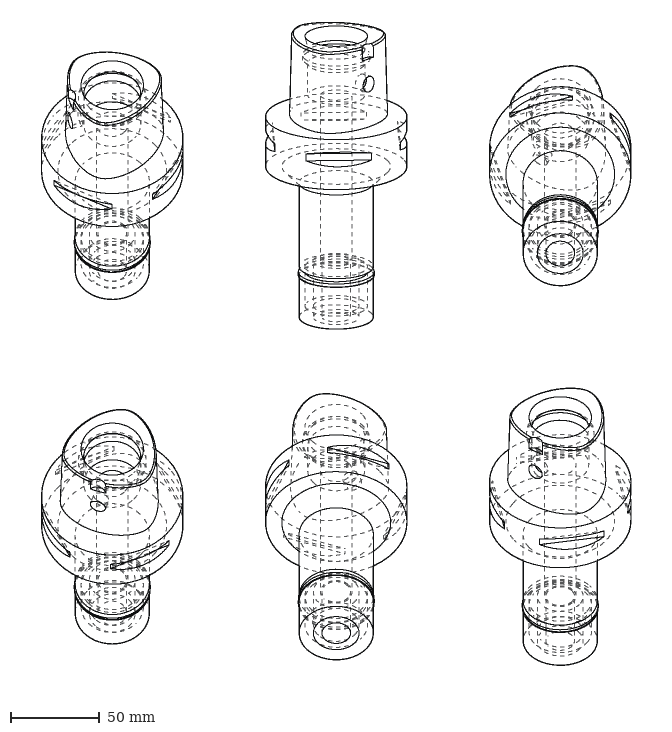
import cadquery as cq
import math

NUT_HEIGHT = 27.2
RIM_BOTTOM = 25.2
NECK_TOP = 30.2
CONE_BOTTOM = 80.3
FLANGE_BOTTOM = 90.0
FLANGE_TOP = 120.0
TOTAL_HEIGHT = 168.0

FLANGE_RADIUS = 40.0
BARREL_RADIUS = 21.0
CONE_TOP_RADIUS = BARREL_RADIUS + FLANGE_BOTTOM - CONE_BOTTOM
NECK_RADIUS = 17.6

SHANK_MEAN_RADIUS = 27.7
LOBE_HEIGHT = 2.0
OUTLINE_POINTS = 24
SHANK_TAPER = 1 / 40
SHANK_CHAMFER_HEIGHT = 1.2
SHANK_CHAMFER_INSET = 1.0

MOUTH_RADIUS = 17.6
BORE_RADIUS = 16.1
GROOVE_RADIUS = 19.2
MOUTH_DEPTH = 6.7
GROOVE_START_DEPTH = 8.2
GROOVE_WALL_LENGTH = 2.0
BORE_DEPTH = 35.3
THROUGH_RADIUS = 8.9

NOTCH_RADIUS = 5.4
NOTCH_BOTTOM = 160.1
NOTCH_INNER_Y = -21.8
SIDE_HOLE_RADIUS = 4.5
SIDE_HOLE_HEIGHT = 145.2
SIDE_HOLE_BOTTOM_Y = -19.0

SLOT_COUNT = 4
SLOT_FLOOR_DISTANCE = 35.5
SLOT_FLOOR_WIDTH = 4.2
SLOT_MOUTH_WIDTH = 8.7
SLOT_HEIGHT = 108.0

NUT_RADIUS = BARREL_RADIUS
NUT_RIM_RADIUS = 21.5
NUT_FLOOR = 6.7

COLLET_RADIUS = 13.0
COLLET_BORE_RADIUS = 8.0
COLLET_HEIGHT = 33.6


def cylinder(radius, bottom, top):
    """Cylinder on the Z axis between two heights."""
    return cq.Workplane("XY").workplane(offset=bottom).circle(radius).extrude(top - bottom)


def revolved(points):
    """Solid turned about the Z axis from (radius, height) points."""
    return cq.Workplane("XZ").polyline(points).close().revolve(360, (0, 0, 0), (0, 1, 0))


def lobed_section(mean_radius, height):
    """Closed three-lobed outline of constant width, with one lobe pointing to +Y."""

    def point(angle):
        support = mean_radius - LOBE_HEIGHT * math.sin(3 * angle)
        slope = -3 * LOBE_HEIGHT * math.cos(3 * angle)
        return (
            support * math.cos(angle) - slope * math.sin(angle),
            support * math.sin(angle) + slope * math.cos(angle),
            height,
        )

    step = 2 * math.pi / OUTLINE_POINTS
    points = [point(index * step - math.pi / 2) for index in range(OUTLINE_POINTS)]
    edge = cq.Edge.makeSpline([cq.Vector(*p) for p in points], periodic=True)
    return cq.Wire.assembleEdges([edge])


def make_shank():
    """Lobed taper, chamfered around its top face."""
    chamfer_bottom = TOTAL_HEIGHT - SHANK_CHAMFER_HEIGHT
    upper_radius = SHANK_MEAN_RADIUS - SHANK_TAPER * (chamfer_bottom - FLANGE_TOP)
    base = lobed_section(SHANK_MEAN_RADIUS, FLANGE_TOP)
    shoulder = lobed_section(upper_radius, chamfer_bottom)
    tip = lobed_section(upper_radius - SHANK_CHAMFER_INSET, TOTAL_HEIGHT)
    taper = cq.Workplane(cq.Solid.makeLoft([base, shoulder], True))
    return taper.union(cq.Workplane(cq.Solid.makeLoft([shoulder, tip], True)))


def make_turned_outside():
    """Flange, cone, barrel and the neck that enters the nut."""
    return revolved([
        (0, NUT_FLOOR),
        (NECK_RADIUS, NUT_FLOOR),
        (NECK_RADIUS, NECK_TOP),
        (BARREL_RADIUS, NECK_TOP),
        (BARREL_RADIUS, CONE_BOTTOM),
        (CONE_TOP_RADIUS, FLANGE_BOTTOM),
        (FLANGE_RADIUS, FLANGE_BOTTOM),
        (FLANGE_RADIUS, FLANGE_TOP),
        (0, FLANGE_TOP),
    ])


def make_bore():
    """Tapered mouth, bore with a 45 degree internal groove, through hole and collet seat."""
    groove_depth = GROOVE_RADIUS - BORE_RADIUS
    groove_top = TOTAL_HEIGHT - GROOVE_START_DEPTH
    wall_top = groove_top - groove_depth
    wall_bottom = wall_top - GROOVE_WALL_LENGTH
    bore_floor = TOTAL_HEIGHT - BORE_DEPTH
    return revolved([
        (0, NUT_FLOOR),
        (COLLET_RADIUS, NUT_FLOOR),
        (COLLET_RADIUS, COLLET_HEIGHT),
        (THROUGH_RADIUS, COLLET_HEIGHT),
        (THROUGH_RADIUS, bore_floor),
        (BORE_RADIUS, bore_floor),
        (BORE_RADIUS, wall_bottom - groove_depth),
        (GROOVE_RADIUS, wall_bottom),
        (GROOVE_RADIUS, wall_top),
        (BORE_RADIUS, groove_top),
        (BORE_RADIUS, TOTAL_HEIGHT - MOUTH_DEPTH),
        (MOUTH_RADIUS, TOTAL_HEIGHT),
        (0, TOTAL_HEIGHT),
    ])


def make_notch():
    """Round-backed key notch, open at the top of the shank."""
    notch = cylinder(NOTCH_RADIUS, NOTCH_BOTTOM, TOTAL_HEIGHT)
    return notch.translate((0, NOTCH_INNER_Y - NOTCH_RADIUS, 0))


def make_side_hole():
    """Flat-bottomed hole entering the shank from -Y."""
    hole_plane = cq.Workplane("XZ", origin=(0, SIDE_HOLE_BOTTOM_Y, SIDE_HOLE_HEIGHT))
    return hole_plane.circle(SIDE_HOLE_RADIUS).extrude(FLANGE_RADIUS + SIDE_HOLE_BOTTOM_Y)


def make_gripper_slot(angle):
    """Straight slot with a flat floor and flaring sides, cut across the flange rim."""
    floor_half = SLOT_FLOOR_WIDTH / 2
    mouth_half = SLOT_MOUTH_WIDTH / 2
    slot = (
        cq.Workplane("XZ")
        .polyline([
            (SLOT_FLOOR_DISTANCE, SLOT_HEIGHT - floor_half),
            (FLANGE_RADIUS, SLOT_HEIGHT - mouth_half),
            (FLANGE_RADIUS, SLOT_HEIGHT + mouth_half),
            (SLOT_FLOOR_DISTANCE, SLOT_HEIGHT + floor_half),
        ])
        .close()
        .extrude(FLANGE_RADIUS, both=True)
    )
    return slot.rotate((0, 0, 0), (0, 0, 1), angle)


def make_holder():
    holder = make_turned_outside().union(make_shank())
    holder = holder.cut(make_bore()).cut(make_notch()).cut(make_side_hole())
    slot_step = 360 / SLOT_COUNT
    for index in range(SLOT_COUNT):
        holder = holder.cut(make_gripper_slot(slot_step / 2 + index * slot_step))
    return holder


def make_nut():
    """Rimmed cap around the neck, with an opening for the collet."""
    nut = cylinder(NUT_RADIUS, 0, NUT_HEIGHT)
    nut = nut.union(cylinder(NUT_RIM_RADIUS, RIM_BOTTOM, NUT_HEIGHT))
    nut = nut.cut(cylinder(NECK_RADIUS, NUT_FLOOR, NUT_HEIGHT))
    return nut.cut(cylinder(COLLET_RADIUS, 0, NUT_FLOOR))


def make_collet():
    """Plain sleeve held by the nut inside the holder."""
    collet = cylinder(COLLET_RADIUS, 0, COLLET_HEIGHT)
    return collet.cut(cylinder(COLLET_BORE_RADIUS, 0, COLLET_HEIGHT))


holder = make_holder().solids()
nut = make_nut().solids()
collet = make_collet().solids()

result = cq.Compound.makeCompound([holder.val(), nut.val(), collet.val()])